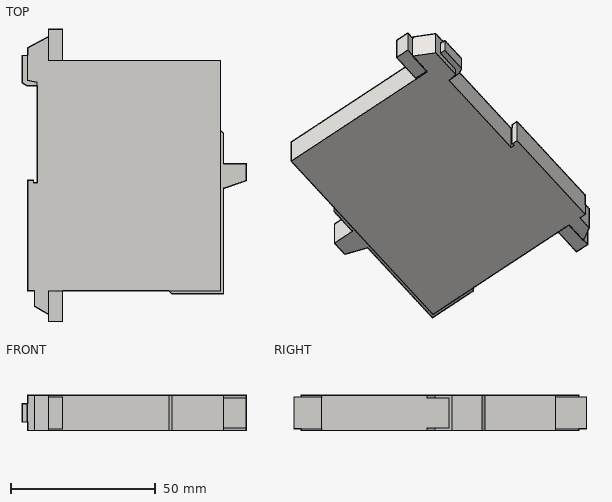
import cadquery as cq

thickness = 12.3
mid_z = thickness / 2
overall_length = 101.0
overall_width = 77.5

plate_right = 66.7
plate_back = 79.6
rail_x = 3.3
rail_front = 38.3
rail_back = 72.1
hook_flat_x = 2.6
hook_slope = 0.6
undercut_x = 2.1
undercut_depth = 0.9
back_ear_start = 83.9
back_ear_end = 87.8
front_ear_x = 2.3
front_ear_start = -5.3
front_ear_end = -8.1

foot_left = 7.2
foot_width = 4.9
foot_height = 11.0
foot_front = -10.6
foot_back = foot_front + overall_length

latch_projection = 1.9
latch_front = 70.8
latch_back = 81.3
latch_height = 6.4
latch_chamfer_x = 1.7
latch_chamfer_y = 1.0

cover_thickness = 1.0
cover_left = 48.8
cover_back = 55.3
cover_right = plate_right + cover_thickness

handle_tip = overall_width - latch_projection
handle_back = 43.9
handle_tip_front = 38.1
handle_root_front = 35.4
handle_wall = 1.0


def centred_prism(points, height):
    """Extrude an XY outline so that it is centred on the housing's mid height."""
    base = cq.Workplane("XY").workplane(offset=mid_z - height / 2)
    return base.polyline(points).close().extrude(height)


def centred_block(left, right, front, back, height):
    """Rectangular block centred on the housing's mid height."""
    return centred_prism([(left, front), (right, front), (right, back), (left, back)], height)


def make_housing():
    outline = [
        (0, 0),
        (front_ear_x, 0),
        (front_ear_x, front_ear_start),
        (foot_left, front_ear_end),
        (foot_left, 0),
        (plate_right, 0),
        (plate_right, plate_back),
        (foot_left, plate_back),
        (foot_left, back_ear_end),
        (0, back_ear_start),
        (0, rail_back + hook_slope),
        (hook_flat_x, rail_back),
        (rail_x, rail_back),
        (rail_x, rail_front - undercut_depth),
        (undercut_x, rail_front - undercut_depth),
        (undercut_x, rail_front),
        (0, rail_front),
    ]
    housing = centred_prism(outline, thickness)

    foot_right = foot_left + foot_width
    for front, back in [(foot_front, 0), (plate_back, foot_back)]:
        housing = housing.union(centred_block(foot_left, foot_right, front, back, foot_height))

    latch_outline = [
        (-latch_projection, latch_back),
        (-latch_projection, latch_front + latch_chamfer_y),
        (-latch_projection + latch_chamfer_x, latch_front),
        (rail_x, latch_front),
        (rail_x, latch_back),
    ]
    return housing.union(centred_prism(latch_outline, latch_height))


def make_cover():
    strip_outline = [
        (cover_left, 0),
        (cover_left + cover_thickness, -cover_thickness),
        (cover_right, -cover_thickness),
        (cover_right, cover_back - cover_thickness),
        (plate_right, cover_back),
        (plate_right, 0),
    ]
    strip = centred_prism(strip_outline, thickness)

    handle_outline = [
        (cover_right, handle_root_front),
        (handle_tip, handle_tip_front),
        (handle_tip, handle_back),
        (cover_right, handle_back),
    ]
    handle = centred_prism(handle_outline, thickness)

    hollow = centred_block(
        cover_right,
        handle_tip,
        handle_root_front,
        handle_back - handle_wall,
        thickness - 2 * handle_wall,
    )
    return strip.union(handle.cut(hollow))


housing = make_housing()
cover = make_cover()

result = cq.Compound.makeCompound([housing.val(), cover.val()])